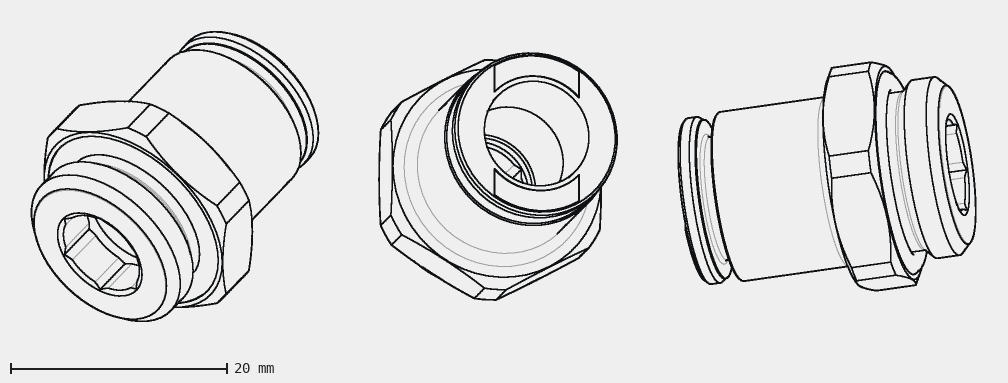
import cadquery as cq
import math


thread_top = 3.1
seal_front = 4.78
hex_front = 5.5
hex_back = 10.43
barrel_top = 21.6
flange_bottom = 23.05
flange_face = 24.78
fitting_length = 24.9

thread_radius = 8.35
neck_radius = 7.42
thread_end_rounding = 0.07
thread_chamfer = thread_radius - neck_radius
neck_start = thread_top + thread_chamfer
neck_fillet = 0.35

hex_sides = 6
hex_across_flats = 20.0
hex_across_corners = 21.99
hex_corner_radius = hex_across_corners / 2
hex_face_radius = 9.95
hex_chamfer_angle = 30.0
hex_chamfer_length = (hex_corner_radius - hex_face_radius) * math.tan(math.radians(hex_chamfer_angle))

barrel_radius = 7.92
barrel_fillet = 1.0
barrel_chamfer = 0.15

seal_outer_radius = 9.5
seal_section_radius = (seal_outer_radius - neck_radius) / 2
seal_center_radius = neck_radius + seal_section_radius
seal_center_y = seal_front + seal_section_radius
seal_recess_bottom = seal_center_y + seal_section_radius

mouth_radius = 4.73
key_across_flats = 8.0
key_depth = 4.13
passage_radius = 4.25
mouth_chamfer_angle = 30.0
mouth_chamfer_length = (mouth_radius - key_across_flats / 2) * math.tan(math.radians(mouth_chamfer_angle))
relief_radius = 4.68
tube_stop = 5.45
tube_radius = 5.0

collet_radius = 5.75
collet_seat = 15.45
collet_fillet = 0.32
flange_radius = 7.77
flange_rim_bottom = 23.65
flange_bottom_radius = 7.42
flange_land = 0.12
flange_chamfer = 0.25

pad_inner_radius = 5.48
pad_outer_radius = 7.42
pad_width = 8.07


def hexagonal_prism(across_flats, start, end):
    """Hexagonal bar along Y with two of its flats facing +X and -X."""
    corner_diameter = across_flats / math.cos(math.pi / hex_sides)
    return (
        cq.Workplane("XZ", origin=(0, start, 0))
        .transformed(rotate=(0, 0, 90.0))
        .polygon(hex_sides, corner_diameter)
        .extrude(start - end)
    )


def cylinder(radius, start, end):
    """Round bar along Y."""
    return cq.Workplane("XZ", origin=(0, start, 0)).circle(radius).extrude(start - end)


def turned(points):
    """Solid of revolution about Y of an outline of (radius, y) points."""
    return cq.Workplane("XY").polyline(points).close().revolve(360, (0, 0, 0), (0, 1, 0))


def threaded_end():
    """Plain thread body and its undercut neck, which runs on through the hexagon."""
    stem = (
        cq.Workplane("XY")
        .lineTo(neck_radius - thread_end_rounding, 0)
        .radiusArc((neck_radius, thread_end_rounding), -thread_end_rounding)
        .lineTo(thread_radius, thread_end_rounding + thread_chamfer)
        .lineTo(thread_radius, thread_top)
        .lineTo(neck_radius, neck_start)
        .lineTo(neck_radius, hex_back)
        .lineTo(0, hex_back)
        .close()
        .revolve(360, (0, 0, 0), (0, 1, 0))
    )
    neck_corner = cq.selectors.NearestToPointSelector((0, neck_start, 0))
    return stem.edges(neck_corner).fillet(neck_fillet)


def hexagon():
    """Hexagon with both faces turned at the corners and a recess for the seal ring."""
    corner_turning = turned([
        (0, hex_front),
        (hex_face_radius, hex_front),
        (hex_corner_radius, hex_front + hex_chamfer_length),
        (hex_corner_radius, hex_back - hex_chamfer_length),
        (hex_face_radius, hex_back),
        (0, hex_back),
    ])
    seal_recess = cylinder(seal_outer_radius, hex_front, seal_recess_bottom)
    return hexagonal_prism(hex_across_flats, hex_front, hex_back).intersect(corner_turning).cut(seal_recess)


def barrel():
    """Plain barrel that flares into the hexagon's back face."""
    return (
        cq.Workplane("XY")
        .moveTo(0, seal_recess_bottom)
        .lineTo(barrel_radius, seal_recess_bottom)
        .lineTo(barrel_radius, hex_back)
        .lineTo(barrel_radius + barrel_fillet, hex_back)
        .radiusArc((barrel_radius, hex_back + barrel_fillet), barrel_fillet)
        .lineTo(barrel_radius, barrel_top - barrel_chamfer)
        .lineTo(barrel_radius - barrel_chamfer, barrel_top)
        .lineTo(0, barrel_top)
        .close()
        .revolve(360, (0, 0, 0), (0, 1, 0))
    )


def passage():
    """Space inside the housing, from the key socket to the collet's seat."""
    mouth = turned([
        (0, 0),
        (mouth_radius, 0),
        (key_across_flats / 2, mouth_chamfer_length),
        (0, mouth_chamfer_length),
    ])
    return (
        hexagonal_prism(key_across_flats, 0, key_depth)
        .union(mouth)
        .union(cylinder(passage_radius, 0, key_depth))
        .union(cylinder(relief_radius, key_depth, tube_stop))
        .union(cylinder(tube_radius, tube_stop, collet_seat))
        .union(cylinder(collet_radius, collet_seat, barrel_top))
    )


def make_housing():
    """Threaded body, hexagon and barrel in one piece, bored through."""
    return threaded_end().union(hexagon()).union(barrel()).cut(passage())


def make_seal_ring():
    """O-ring around the neck."""
    return (
        cq.Workplane("XY")
        .center(seal_center_radius, seal_center_y)
        .circle(seal_section_radius)
        .revolve(360, (-seal_center_radius, 0, 0), (-seal_center_radius, 1, 0))
    )


def marking_pads():
    """Two opposite sectors of a low ring, above and below the collet's bore."""
    ring = cylinder(pad_outer_radius, flange_face, fitting_length).cut(
        cylinder(pad_inner_radius, flange_face, fitting_length)
    )
    strip = cq.Workplane("XY").box(pad_width, 2 * fitting_length, 2 * pad_outer_radius)
    return ring.intersect(strip)


def make_collet():
    """Flanged sleeve seated in the barrel."""
    sleeve = (
        cq.Workplane("XY")
        .moveTo(tube_radius, collet_seat)
        .lineTo(collet_radius, collet_seat)
        .lineTo(collet_radius, flange_bottom - collet_fillet)
        .radiusArc((collet_radius + collet_fillet, flange_bottom), collet_fillet)
        .lineTo(flange_bottom_radius, flange_bottom)
        .lineTo(flange_bottom_radius, flange_bottom + flange_land)
        .lineTo(flange_radius, flange_rim_bottom)
        .lineTo(flange_radius, flange_face - flange_chamfer)
        .lineTo(flange_radius - flange_chamfer, flange_face)
        .lineTo(tube_radius, flange_face)
        .close()
        .revolve(360, (0, 0, 0), (0, 1, 0))
    )
    return sleeve.union(marking_pads())


housing = make_housing()
seal_ring = make_seal_ring()
collet = make_collet()

result = cq.Compound.makeCompound([housing.val(), seal_ring.val(), collet.val()])